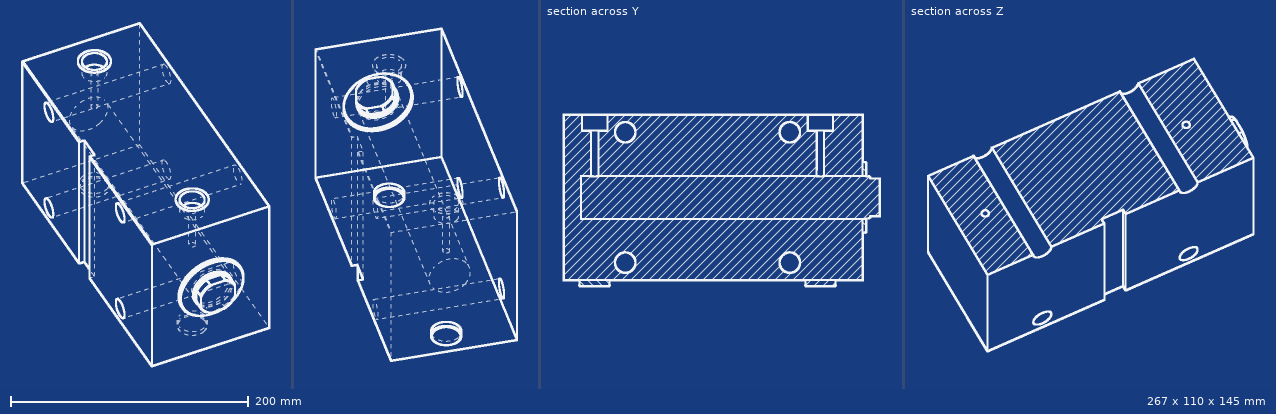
import cadquery as cq
length = 252.5
width = 110.0
height = 140.0
axis_z = height / 2
front_y = -width / 2
edge_chamfer = 0.5

keyway_start = 111.0
keyway_width = 20.0
keyway_depth = 4.8

mount_dia = 17.0
mount_x = [52.0, 191.0]
mount_spacing_z = 110.0
mount_z = [axis_z - mount_spacing_z / 2, axis_z + mount_spacing_z / 2]

port_x = [26.2, 216.8]
port_dia = 21.0
port_depth = 13.5
spotface_dia = 28.0
spotface_depth = 0.3
passage_dia = 6.0

plug_dia = 26.0
plug_height = 5.0
plug_chamfer = 0.8

flange_dia = 60.0
flange_thickness = 3.0
flange_chamfer = 0.8

rod_dia = 36.0
rod_start = 15.0
rod_shoulder = length + 6.5
rod_end = length + 14.5
neck_dia = 35.0
wrench_size = 32.0
rod_chamfer = 1.0
neck_chamfer = 0.5


def disc(radius, thickness, chamfer):
    """Disc along Z from the origin, chamfered on its far rim."""
    return cq.Workplane("XY").circle(radius).extrude(thickness).faces(">Z").chamfer(chamfer)


def turned(profile):
    """Turn a profile of (x, radius) points about the rod axis."""
    return (
        cq.Workplane("XZ")
        .polyline(profile)
        .close()
        .revolve(360, (0, 0), (1, 0))
        .translate((0, 0, axis_z))
    )


def drilled_down(diameter, depth):
    """Cutters for vertical holes from the top face at every port position."""
    return (
        cq.Workplane("XY", origin=(0, 0, height))
        .pushPoints([(x, 0) for x in port_x])
        .circle(diameter / 2)
        .extrude(-depth)
    )


def make_housing():
    block = cq.Workplane("XY").box(length, width, height, centered=(False, True, False))
    block = block.edges("<Y and >Z").chamfer(edge_chamfer)

    keyway = cq.Workplane("XY").box(keyway_width, keyway_depth, height, centered=False)
    block = block.cut(keyway.translate((keyway_start, front_y, 0)))

    mounting_holes = (
        cq.Workplane("XZ", origin=(0, front_y, 0))
        .pushPoints([(x, z) for x in mount_x for z in mount_z])
        .circle(mount_dia / 2)
        .extrude(-width)
    )
    block = block.cut(mounting_holes)

    block = block.cut(drilled_down(spotface_dia, spotface_depth))
    block = block.cut(drilled_down(port_dia, port_depth))
    block = block.cut(drilled_down(passage_dia, height - axis_z))

    radius = rod_dia / 2
    bore = turned([(rod_start, 0), (rod_start, radius), (length, radius), (length, 0)])
    return block.cut(bore)


def make_flange():
    outer = flange_dia / 2
    inner = rod_dia / 2
    face = length + flange_thickness
    return turned(
        [
            (length, inner),
            (length, outer),
            (face - flange_chamfer, outer),
            (face, outer - flange_chamfer),
            (face, inner),
        ]
    )


def make_rod():
    body_radius = rod_dia / 2
    neck_radius = neck_dia / 2
    body = turned(
        [
            (rod_start, 0),
            (rod_start, body_radius),
            (rod_shoulder - rod_chamfer, body_radius),
            (rod_shoulder, body_radius - rod_chamfer),
            (rod_shoulder, 0),
        ]
    )
    neck = turned(
        [
            (rod_shoulder, 0),
            (rod_shoulder, neck_radius),
            (rod_end - neck_chamfer, neck_radius),
            (rod_end, neck_radius - neck_chamfer),
            (rod_end, 0),
        ]
    )
    wrench_block = (
        cq.Workplane("XY")
        .box(rod_end - rod_shoulder, wrench_size, wrench_size, centered=(False, True, True))
        .translate((rod_shoulder, 0, axis_z))
    )
    return body.union(neck.intersect(wrench_block))


def make_plug(x):
    plug = disc(plug_dia / 2, plug_height, plug_chamfer)
    return plug.rotate((0, 0, 0), (0, 1, 0), 180).translate((x, 0, 0))


housing = make_housing()
flange = make_flange()
rod = make_rod()
plugs = [make_plug(x) for x in port_x]

result = cq.Compound.makeCompound(
    [housing.val(), flange.val(), rod.val(), *[plug.val() for plug in plugs]]
)